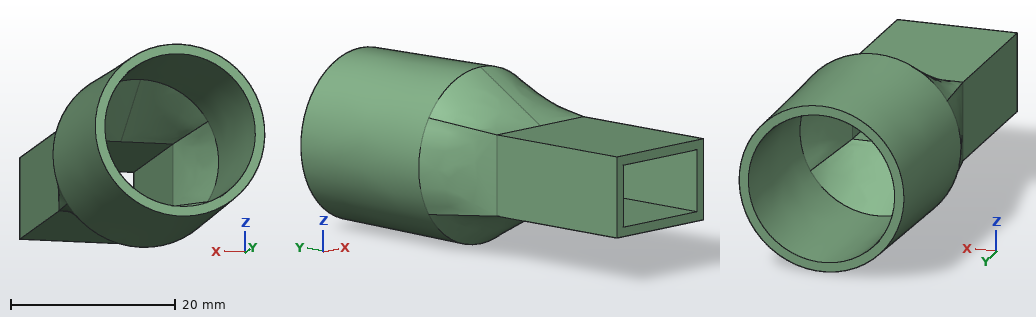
import cadquery as cq

NOZZLE_WIDTH = 15.5
NOZZLE_HEIGHT = 10.1
NOZZLE_LENGTH = 20.0
TRANSITION_LENGTH = 10.0
SOCKET_LENGTH = 20.0
SHOULDER_DIAMETER = 22.0
SOCKET_END_DIAMETER = 21.3
WALL = 1.2

TOTAL_LENGTH = NOZZLE_LENGTH + TRANSITION_LENGTH + SOCKET_LENGTH
NOZZLE_MOUTH_Y = -TOTAL_LENGTH / 2
NOZZLE_ROOT_Y = NOZZLE_MOUTH_Y + NOZZLE_LENGTH
SHOULDER_Y = NOZZLE_ROOT_Y + TRANSITION_LENGTH
SOCKET_END_Y = SHOULDER_Y + SOCKET_LENGTH


def cross_section(y):
    """Workplane across the part at y: local x along Z, local y along X, normal along +Y."""
    plane = cq.Plane(origin=(0, y, 0), xDir=(0, 0, 1), normal=(0, 1, 0))
    return cq.Workplane(plane)


def nozzle(inset):
    """Straight rectangular length, shrunk by inset on every side."""
    outline = cross_section(NOZZLE_MOUTH_Y).rect(NOZZLE_HEIGHT - 2 * inset, NOZZLE_WIDTH - 2 * inset)
    return outline.extrude(NOZZLE_LENGTH)


def transition(inset):
    """Ruled blend from the nozzle rectangle to the shoulder circle."""
    return (
        cross_section(NOZZLE_ROOT_Y)
        .rect(NOZZLE_HEIGHT - 2 * inset, NOZZLE_WIDTH - 2 * inset)
        .workplane(offset=TRANSITION_LENGTH)
        .circle(SHOULDER_DIAMETER / 2 - inset)
        .loft(ruled=True)
    )


def socket(inset):
    """Round length that tapers slightly from the shoulder to its open end."""
    return (
        cross_section(SHOULDER_Y)
        .circle(SHOULDER_DIAMETER / 2 - inset)
        .workplane(offset=SOCKET_LENGTH)
        .circle(SOCKET_END_DIAMETER / 2 - inset)
        .loft(ruled=True)
    )


def adapter_body(inset):
    """Nozzle, transition and socket joined into one solid."""
    return nozzle(inset).union(transition(inset)).union(socket(inset))


outer_body = adapter_body(0)
passage = adapter_body(WALL)
result = outer_body.cut(passage)